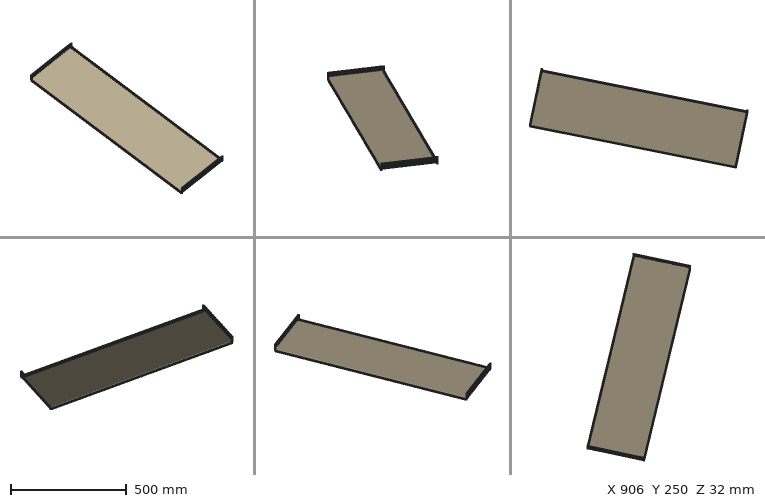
import cadquery as cq

length = 906.0
width = 250.0
height = 32.0

sheet = 1.0
inner_bend = sheet
outer_bend = inner_bend + sheet
lip_drop = 7.6
deck_top = lip_drop + sheet
corner_relief = outer_bend

hole_diameter = 6.5
hole_count = 17
hole_pitch = width / (hole_count + 3)
hole_below_top = 10.0
hole_height = height - hole_below_top
slot_end = width / 2 - (hole_count + 1) * hole_pitch


def bent_channel(span, leg, depth):
    """U channel along Y, base on Z = 0 and legs rising to Z = leg."""
    outside = (
        cq.Workplane("XY").box(span, depth, leg, centered=(True, True, False))
        .edges("|Y and <Z").fillet(outer_bend)
    )
    inside = (
        cq.Workplane("XY").workplane(offset=sheet)
        .box(span - 2 * sheet, depth, leg, centered=(True, True, False))
        .edges("|Y and <Z").fillet(inner_bend)
    )
    return outside.cut(inside)


def end_flanges_and_deck():
    """Deck with an upturned flange at each end."""
    return bent_channel(length, height - lip_drop, width).translate((0, 0, lip_drop))


def lipped_deck():
    """Deck with a downturned lip along each long side, stopping short of the end bends."""
    return (
        bent_channel(width, deck_top, length - 2 * corner_relief)
        .rotate((0, 0, 0), (0, 1, 0), 180)
        .rotate((0, 0, 0), (0, 0, 1), 90)
        .translate((0, 0, deck_top))
    )


def long_side_trim():
    """Blocks that clear the square deck edges above the rounded lip bends."""
    trim_length = length - 2 * corner_relief
    return (
        cq.Workplane("XY").workplane(offset=lip_drop)
        .pushPoints([(0, side * (width - outer_bend) / 2) for side in (-1, 1)])
        .box(trim_length, outer_bend, sheet, centered=(True, True, False))
    )


def flange_holes():
    """Row of round holes through both end flanges."""
    centers = [(width / 2 - (i + 1) * hole_pitch, hole_height) for i in range(hole_count)]
    return (
        cq.Workplane("YZ").pushPoints(centers)
        .circle(hole_diameter / 2).extrude(length / 2, both=True)
    )


def flange_slots():
    """Round-ended slot, open at the -Y edge, through both end flanges."""
    slot_length = slot_end + width / 2
    channel = (
        cq.Workplane("XY")
        .box(length, slot_length, hole_diameter)
        .translate((0, slot_end - slot_length / 2, hole_height))
    )
    round_end = (
        cq.Workplane("YZ").center(slot_end, hole_height)
        .circle(hole_diameter / 2).extrude(length / 2, both=True)
    )
    return channel.union(round_end)


shelf = end_flanges_and_deck().cut(long_side_trim()).union(lipped_deck())
result = shelf.cut(flange_holes()).cut(flange_slots())